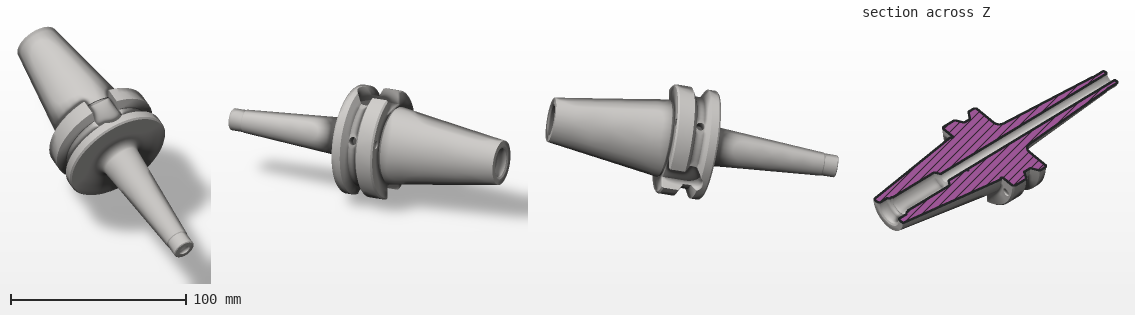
import cadquery as cq
import math

LENGTH = 167.4

TAPER_LENGTH = 65.8
TAPER_BIG_R = 22.5
TAPER_RATIO = 7 / 24
TAPER_SMALL_R = TAPER_BIG_R - TAPER_LENGTH * TAPER_RATIO / 2
NECK_R = 21.6

FLANGE_R = 31.5
FLANGE_START = 67.1
FLANGE_END = 92.4
FLANGE_CHAMFER_LENGTH = 1.0
FLANGE_CHAMFER_HEIGHT = 0.8
GROOVE_CENTRE = 81.7
GROOVE_FLOOR_WIDTH = 4.7
GROOVE_FLOOR_R = 26.5
GROOVE_STEP_R = 27.1
GROOVE_SIDE_ANGLE = 30.0

SLOT_WIDTH = 16.0
SLOT_FLOOR_R = 22.3
SLOT_END = 89.0
SLOT_MOUTH_CHAMFER = 0.5

NOSE_ROOT_R = 11.2
NOSE_ROOT_FILLET = 4.5
NOSE_TAPER_END = 159.0
NOSE_TAPER_END_R = 6.7
TIP_STEP_LENGTH = 0.5
TIP_R = 6.4
TIP_CHAMFER = 0.5

BORE_MOUTH_R = 9.5
BORE_MOUTH_CHAMFER = 0.7
PILOT_BORE_R = 8.4
PILOT_BORE_DEPTH = 6.2
THREAD_BORE_R = 7.2
THREAD_BORE_DEPTH = 8.9
INNER_BORE_R = 6.7
INNER_BORE_DEPTH = 40.2
DRILL_POINT_ANGLE = 118.0
THROUGH_HOLE_R = 3.3

COOLANT_ANGLE = 20.5
COOLANT_INLET_D = 4.7
COOLANT_INLET_RADIUS = 26.8
COOLANT_INLET_TILT = 15.0
COOLANT_CROSS_X = GROOVE_CENTRE
COOLANT_CROSS_D = 4.7
COOLANT_CROSS_FLOOR_R = 20.5


def turned_body():
    """Solid of revolution: taper, neck, grooved flange and nose."""
    groove_left = GROOVE_CENTRE - GROOVE_FLOOR_WIDTH / 2
    groove_right = GROOVE_CENTRE + GROOVE_FLOOR_WIDTH / 2
    side_slope = math.tan(math.radians(GROOVE_SIDE_ANGLE))
    left_side = (FLANGE_R - GROOVE_STEP_R) * side_slope
    right_side = (FLANGE_R - GROOVE_FLOOR_R) * side_slope
    chamfer_r = FLANGE_R - FLANGE_CHAMFER_HEIGHT

    fillet_centre_x = FLANGE_END + NOSE_ROOT_FILLET
    fillet_centre_r = NOSE_ROOT_R + NOSE_ROOT_FILLET
    fillet_mid_offset = NOSE_ROOT_FILLET * math.sqrt(0.5)
    fillet_mid = (fillet_centre_x - fillet_mid_offset, fillet_centre_r - fillet_mid_offset)

    profile = (
        cq.Workplane("XY")
        .moveTo(0, 0)
        .lineTo(0, TAPER_SMALL_R)
        .lineTo(TAPER_LENGTH, TAPER_BIG_R)
        .lineTo(TAPER_LENGTH, NECK_R)
        .lineTo(FLANGE_START, NECK_R)
        .lineTo(FLANGE_START, chamfer_r)
        .lineTo(FLANGE_START + FLANGE_CHAMFER_LENGTH, FLANGE_R)
        .lineTo(groove_left - left_side, FLANGE_R)
        .lineTo(groove_left, GROOVE_STEP_R)
        .lineTo(groove_left, GROOVE_FLOOR_R)
        .lineTo(groove_right, GROOVE_FLOOR_R)
        .lineTo(groove_right + right_side, FLANGE_R)
        .lineTo(FLANGE_END - FLANGE_CHAMFER_LENGTH, FLANGE_R)
        .lineTo(FLANGE_END, chamfer_r)
        .lineTo(FLANGE_END, fillet_centre_r)
        .threePointArc(fillet_mid, (fillet_centre_x, NOSE_ROOT_R))
        .lineTo(NOSE_TAPER_END, NOSE_TAPER_END_R)
        .lineTo(NOSE_TAPER_END + TIP_STEP_LENGTH, TIP_R)
        .lineTo(LENGTH - TIP_CHAMFER, TIP_R)
        .lineTo(LENGTH, TIP_R - TIP_CHAMFER)
        .lineTo(LENGTH, 0)
        .close()
    )
    return profile.revolve(360, (0, 0, 0), (1, 0, 0))


def bore():
    """Stepped bore from the taper end, running out through the tip."""
    pilot_cone_length = PILOT_BORE_R - THREAD_BORE_R
    half_point = math.radians(DRILL_POINT_ANGLE / 2)
    point_length = (INNER_BORE_R - THROUGH_HOLE_R) / math.tan(half_point)
    profile = (
        cq.Workplane("XY")
        .moveTo(0, 0)
        .lineTo(0, BORE_MOUTH_R)
        .lineTo(BORE_MOUTH_CHAMFER, PILOT_BORE_R)
        .lineTo(PILOT_BORE_DEPTH, PILOT_BORE_R)
        .lineTo(PILOT_BORE_DEPTH + pilot_cone_length, THREAD_BORE_R)
        .lineTo(THREAD_BORE_DEPTH, THREAD_BORE_R)
        .lineTo(THREAD_BORE_DEPTH, INNER_BORE_R)
        .lineTo(INNER_BORE_DEPTH, INNER_BORE_R)
        .lineTo(INNER_BORE_DEPTH + point_length, THROUGH_HOLE_R)
        .lineTo(LENGTH, THROUGH_HOLE_R)
        .lineTo(LENGTH, 0)
        .close()
    )
    return profile.revolve(360, (0, 0, 0), (1, 0, 0))


def drive_slot():
    """Round-ended slot cutter above the axis, open at the taper side of the flange."""
    slot_height = FLANGE_R - SLOT_FLOOR_R
    round_centre = SLOT_END - SLOT_WIDTH / 2
    straight_length = round_centre - TAPER_LENGTH
    floor = cq.Workplane("XY").workplane(offset=SLOT_FLOOR_R)
    straight = (
        floor.center(TAPER_LENGTH + straight_length / 2, 0)
        .rect(straight_length, SLOT_WIDTH)
        .extrude(slot_height)
    )
    rounded = floor.center(round_centre, 0).circle(SLOT_WIDTH / 2).extrude(slot_height)
    return straight.union(rounded)


def cylinder(diameter, length, start, direction):
    """Solid cylinder growing from a start point along a direction."""
    solid = cq.Solid.makeCylinder(diameter / 2, length, cq.Vector(*start), cq.Vector(*direction))
    return cq.Workplane(solid)


def coolant_holes():
    """Sloping inlet from the flange face meeting a blind cross hole in the groove floor."""
    tilt = math.radians(COOLANT_INLET_TILT)
    overrun = COOLANT_INLET_D
    slope = (math.cos(tilt), -math.sin(tilt), 0)
    inlet_start = (
        FLANGE_START - overrun * math.cos(tilt),
        COOLANT_INLET_RADIUS + overrun * math.sin(tilt),
        0,
    )
    inlet_length = overrun + (COOLANT_CROSS_X - FLANGE_START) / math.cos(tilt)
    inlet = cylinder(COOLANT_INLET_D, inlet_length, inlet_start, slope)

    cross_start = (COOLANT_CROSS_X, COOLANT_CROSS_FLOOR_R, 0)
    cross = cylinder(COOLANT_CROSS_D, FLANGE_R - COOLANT_CROSS_FLOOR_R, cross_start, (0, 1, 0))
    return inlet.union(cross).rotate((0, 0, 0), (1, 0, 0), COOLANT_ANGLE)


def chamfer_slot_mouths(body):
    """Break the straight edges where the slots open through the flange face."""
    margin = SLOT_MOUTH_CHAMFER / 2
    around_flange_face = cq.selectors.BoxSelector(
        (FLANGE_START - margin, -FLANGE_R, -FLANGE_R),
        (FLANGE_START + margin, FLANGE_R, FLANGE_R),
    )
    return body.edges(around_flange_face).edges("%LINE").chamfer(SLOT_MOUTH_CHAMFER)


def cut_both_sides(body, cutter):
    """Cut a feature and its copy half a turn away about the X axis."""
    opposite = cutter.rotate((0, 0, 0), (1, 0, 0), 180)
    return body.cut(cutter).cut(opposite)


result = turned_body().cut(bore())
result = cut_both_sides(result, drive_slot())
result = chamfer_slot_mouths(result)
result = cut_both_sides(result, coolant_holes())